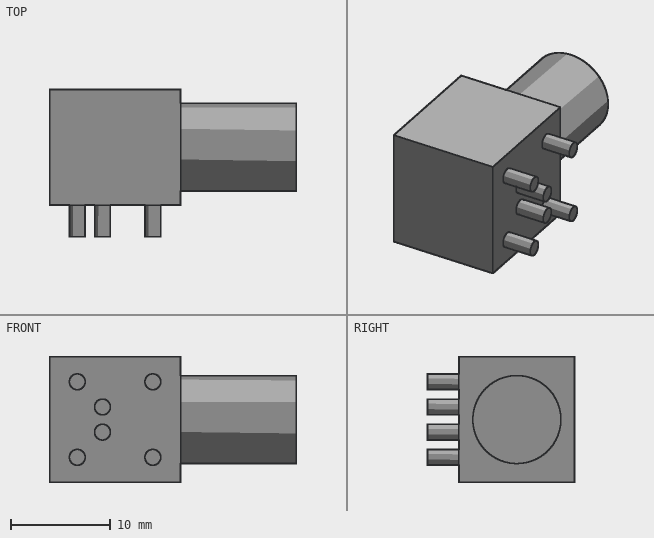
import cadquery as cq

housing_length = 13.21
housing_depth = 11.68
housing_height = 12.7

overall_length = 24.89
barrel_diameter = 8.89
barrel_length = overall_length - housing_length

overall_depth = 14.88
pin_diameter = 1.6
pin_length = overall_depth - housing_depth
pin_pitch = 2.54
first_pin_x = 2.79

outer_pin_span = 3 * pin_pitch
outer_pin_columns = (first_pin_x, first_pin_x + outer_pin_span)
inner_pin_x = first_pin_x + pin_pitch
pin_positions = [(x, side * outer_pin_span / 2) for x in outer_pin_columns for side in (-1, 1)]
pin_positions += [(inner_pin_x, side * pin_pitch / 2) for side in (-1, 1)]


def make_housing():
    return cq.Workplane("XY").box(
        housing_length, housing_depth, housing_height, centered=(False, True, True)
    )


def make_barrel():
    return (
        cq.Workplane("YZ", origin=(housing_length, 0, 0))
        .circle(barrel_diameter / 2)
        .extrude(barrel_length)
    )


def make_pins():
    return (
        cq.Workplane("XZ", origin=(0, -housing_depth / 2, 0))
        .pushPoints(pin_positions)
        .circle(pin_diameter / 2)
        .extrude(pin_length)
    )


result = make_housing().union(make_barrel()).union(make_pins())